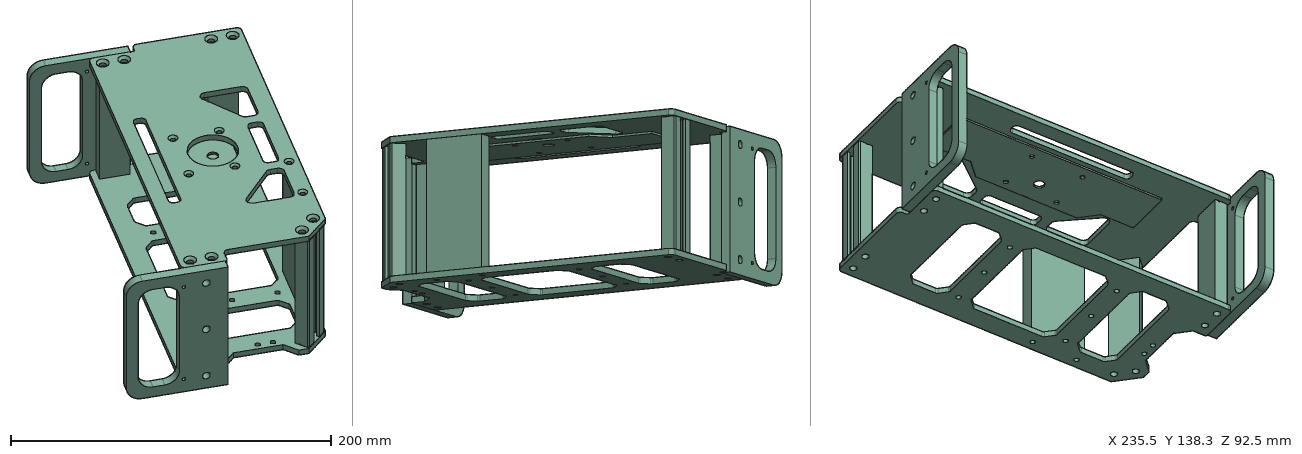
import cadquery as cq
import math

frame_height = 92.5
plate_thickness = 4.0
half_height = frame_height / 2
gap_half = half_height - plate_thickness

rear_y = 69.0
front_y = -31.0
left_x = -117.8
right_x = 100.4
handle_seat_x = 111.2
ledge_y = -1.2
rear_bevel = 14.5
plate_corner_radius = 3.0
ledge_tip_radius = 1.2

screw_hole_diameter = 4.5
screw_head_diameter = 8.0
small_hole_diameter = 3.3
small_head_diameter = 6.1
head_angle = 90

bar_length = 19.8
bar_depth = 10.0
bar_bevel = 1.0
bar_screw_spacing = 14.0
bar_screw_depth = 6.5
bar_tap_diameter = 3.3
slot_mouth_half = 3.3
slot_lip = 2.0
slot_cavity_half = 6.0
slot_straight_depth = 4.2
slot_depth = slot_straight_depth + slot_cavity_half - slot_mouth_half

end_bar_y = -16.7
diagonal_screws_mid = (88.0, 56.8)
diagonal_offset = bar_screw_depth * math.sqrt(0.5)
bar_places = [
    (-117.3, 55.1, 180),
    (-handle_seat_x, end_bar_y, 180),
    (handle_seat_x, end_bar_y, 0),
    (diagonal_screws_mid[0] + diagonal_offset, diagonal_screws_mid[1] + diagonal_offset, 45),
]

rear_bar_left = 20.0
rear_bar_right = 59.5
rear_bar_depth = 10.0
rear_bar_screws = [(23.0, 62.5), (55.8, 62.5)]
rear_bar_tap_diameter = 2.5

motor_y = 19.3
motor_bore_diameter = 32.0
motor_screws = [(x, y) for x in (-18.8, 18.8) for y in (28.5, -1.5)]
window_rear_y = 57.0
window_inner_x = 28.0
window_outer_x = 58.7
window_inner_front_y = 47.1
window_outer_front_y = 22.0
window_radius = 3.8
rear_slot_length = 42.0
rear_slot_width = 10.1
front_slot_length = 89.0
front_slot_width = 8.0
front_slot_x = 0.7
front_slot_y = -17.0
slot_corner_radius = 3.0

opening_rear_y = 54.7
opening_front_y = -17.0
opening_bevel = 6.0
opening_corner_radius = 2.0
centre_opening_half = 31.8
side_opening_inner = 47.5
side_opening_outer = 77.0
rib_hole_x = 39.8
rib_hole_ys = (50.5, 21.0, -8.5)
side_holes = [(88.0, 34.5), (88.0, 24.5)]
bottom_hole_diameter = 3.3
edge_notch_depth = 8.0
edge_notch_rear_y = 39.8
edge_notch_front_y = 7.8

sheet_thickness = 1.5
sheet_left = -77.0
sheet_right = 72.8
sheet_rear_y = 34.5
sheet_shoulder_y = 23.5
sheet_front_y = -9.5
sheet_tab_half = 37.7
sheet_bore_diameter = 7.0

handle_corner_radius = 10.4
grip_rear_y = -34.9
grip_front_y = -61.5
grip_height = 76.8
grip_radius = 9.5
handle_screw_diameter = 5.0
handle_screw_spacing = 36.5
handle_pin_diameter = 2.1
handle_pin_y = -32.0
handle_pin_spacing = 72.5
left_handle_thickness = 6.1
right_handle_thickness = 6.5
left_handle_rear_y = -4.0
right_handle_rear_y = -2.5
handle_front_y = -69.3
right_handle_shift = 0.7


def box_between(x0, x1, y0, y1, z0, z1):
    return cq.Workplane("XY").box(x1 - x0, y1 - y0, z1 - z0, centered=False).translate((x0, y0, z0))


def drills(points, diameter):
    """Vertical cylinders through the whole frame."""
    drill = cq.Workplane("XY").workplane(offset=-half_height)
    return drill.pushPoints(points).circle(diameter / 2).extrude(frame_height)


def bar_screw_points():
    points = []
    for x, y, angle in bar_places:
        out_x = math.cos(math.radians(angle))
        out_y = math.sin(math.radians(angle))
        for along in (-bar_screw_spacing / 2, bar_screw_spacing / 2):
            points.append((
                x - out_x * bar_screw_depth - out_y * along,
                y - out_y * bar_screw_depth + out_x * along,
            ))
    return points


def plate_blank(bottom_z):
    outline = [
        (left_x, rear_y),
        (right_x - rear_bevel, rear_y),
        (right_x, rear_y - rear_bevel),
        (right_x, ledge_y),
        (handle_seat_x, ledge_y),
        (handle_seat_x, front_y),
        (-handle_seat_x, front_y),
        (-handle_seat_x, ledge_y),
        (left_x, ledge_y),
    ]
    blank = cq.Workplane("XY").workplane(offset=bottom_z).polyline(outline).close().extrude(plate_thickness)
    rounded_corners = [outline[i] for i in (0, 3, 5, 6, 8)]
    small_corners = [outline[i] for i in (4, 7)]
    for corners, radius in ((rounded_corners, plate_corner_radius), (small_corners, ledge_tip_radius)):
        for x, y in corners:
            edge = cq.selectors.NearestToPointSelector((x, y, bottom_z + plate_thickness / 2))
            blank = blank.edges("|Z").edges(edge).fillet(radius)
    return blank


def window(side):
    """Four-sided opening beside the motor; side is -1 for left and 1 for right."""
    outline = [
        (side * window_outer_x, window_rear_y),
        (side * window_inner_x, window_rear_y),
        (side * window_inner_x, window_inner_front_y),
        (side * window_outer_x, window_outer_front_y),
    ]
    cutter = cq.Workplane("XY").workplane(offset=gap_half).polyline(outline).close().extrude(plate_thickness)
    return cutter.edges("|Z").fillet(window_radius)


def plate_slot(x, y, length, width):
    x0 = x - length / 2
    y0 = y - width / 2
    cutter = box_between(x0, x0 + length, y0, y0 + width, gap_half, half_height)
    return cutter.edges("|Z").fillet(slot_corner_radius)


def make_top_plate():
    plate = plate_blank(gap_half)
    for side in (-1, 1):
        plate = plate.cut(window(side))
    plate = plate.cut(plate_slot(0, window_rear_y - rear_slot_width / 2, rear_slot_length, rear_slot_width))
    plate = plate.cut(plate_slot(front_slot_x, front_slot_y, front_slot_length, front_slot_width))
    plate = plate.cut(drills([(0, motor_y)], motor_bore_diameter))
    for points, hole, head in (
        (bar_screw_points(), screw_hole_diameter, screw_head_diameter),
        (rear_bar_screws + motor_screws, small_hole_diameter, small_head_diameter),
    ):
        cone_depth = (head - hole) / 2 / math.tan(math.radians(head_angle / 2))
        for x, y in points:
            cone_base = cq.Vector(x, y, half_height - cone_depth)
            cone = cq.Solid.makeCone(hole / 2, head / 2, cone_depth, pnt=cone_base)
            plate = plate.cut(cq.Workplane(cone))
        plate = plate.cut(drills(points, hole))
    return plate


def bottom_opening(x0, x1):
    cutter = box_between(x0, x1, opening_front_y, opening_rear_y, -half_height, -gap_half)
    return cutter.edges("|Z").chamfer(opening_bevel).edges("|Z").fillet(opening_corner_radius)


def edge_notch():
    """Cutter whose front flank runs out at the ledge and clears the rounded corner there."""
    floor_x = right_x - edge_notch_depth
    clear_x = right_x + plate_corner_radius
    outline = [
        (right_x, edge_notch_rear_y + edge_notch_depth),
        (floor_x, edge_notch_rear_y),
        (floor_x, edge_notch_front_y),
        (floor_x + edge_notch_front_y - ledge_y, ledge_y),
        (clear_x, ledge_y),
        (clear_x, edge_notch_rear_y + edge_notch_depth),
    ]
    floor_plane = cq.Workplane("XY").workplane(offset=-half_height)
    return floor_plane.polyline(outline).close().extrude(plate_thickness)


def make_bottom_plate():
    plate = plate_blank(-half_height).cut(edge_notch())
    plate = plate.cut(bottom_opening(-centre_opening_half, centre_opening_half))
    plate = plate.cut(bottom_opening(side_opening_inner, side_opening_outer))
    plate = plate.cut(bottom_opening(-side_opening_outer, -side_opening_inner))
    rib_holes = [(x, y) for x in (-rib_hole_x, rib_hole_x) for y in rib_hole_ys]
    plate = plate.cut(drills(rib_holes + side_holes, bottom_hole_diameter))
    plate = plate.cut(drills(bar_screw_points(), screw_hole_diameter))
    return plate.cut(drills(rear_bar_screws, small_hole_diameter))


def make_motor_sheet():
    shoulder_run = sheet_rear_y - sheet_shoulder_y
    outline = [
        (sheet_left, sheet_front_y),
        (sheet_right, sheet_front_y),
        (sheet_right, sheet_shoulder_y),
        (sheet_tab_half + shoulder_run, sheet_shoulder_y),
        (sheet_tab_half, sheet_rear_y),
        (-sheet_tab_half, sheet_rear_y),
        (-sheet_tab_half - shoulder_run, sheet_shoulder_y),
        (sheet_left, sheet_shoulder_y),
    ]
    under_plate = cq.Workplane("XY").workplane(offset=gap_half - sheet_thickness)
    sheet = under_plate.polyline(outline).close().extrude(sheet_thickness)
    sheet = sheet.cut(drills([(0, motor_y)], sheet_bore_diameter))
    return sheet.cut(drills(motor_screws, small_hole_diameter))


def make_side_bar(x, y, angle):
    """Upright bar; its slotted outer face looks along +X before it is turned and placed."""
    bar = box_between(-bar_depth, 0, -bar_length / 2, bar_length / 2, -gap_half, gap_half)
    bar = bar.edges("|Z and >X").chamfer(bar_bevel)
    slot_outline = [
        (0, slot_mouth_half),
        (-slot_lip, slot_mouth_half),
        (-slot_lip, slot_cavity_half),
        (-slot_straight_depth, slot_cavity_half),
        (-slot_depth, slot_mouth_half),
    ]
    slot_outline += [(depth, -half) for depth, half in reversed(slot_outline)]
    slot = cq.Workplane("XY").workplane(offset=-gap_half).polyline(slot_outline).close().extrude(2 * gap_half)
    screws = [(-bar_screw_depth, side * bar_screw_spacing / 2) for side in (-1, 1)]
    bar = bar.cut(slot).cut(drills(screws, bar_tap_diameter))
    return bar.rotate((0, 0, 0), (0, 0, 1), angle).translate((x, y, 0))


def make_rear_bar():
    front = rear_y - rear_bar_depth
    bar = box_between(rear_bar_left, rear_bar_right, front, rear_y, -gap_half, gap_half)
    return bar.cut(drills(rear_bar_screws, rear_bar_tap_diameter))


def make_handle(inner_x, outer_x, plate_end_y, shift):
    """Flat end plate with a long grip opening in its front part, moved back by shift."""
    x0 = min(inner_x, outer_x)
    x1 = max(inner_x, outer_x)
    handle = box_between(x0, x1, handle_front_y + shift, plate_end_y, -half_height, half_height)
    handle = handle.edges("|X and <Y").fillet(handle_corner_radius)
    grip = box_between(x0, x1, grip_front_y + shift, grip_rear_y + shift, -grip_height / 2, grip_height / 2)
    handle = handle.cut(grip.edges("|X").fillet(grip_radius))
    side = cq.Workplane("YZ").workplane(offset=x0)
    screws = [(end_bar_y, row * handle_screw_spacing) for row in (-1, 0, 1)]
    pins = [(handle_pin_y + shift, row * handle_pin_spacing / 2) for row in (-1, 1)]
    handle = handle.cut(side.pushPoints(screws).circle(handle_screw_diameter / 2).extrude(x1 - x0))
    return handle.cut(side.pushPoints(pins).circle(handle_pin_diameter / 2).extrude(x1 - x0))


top_plate = make_top_plate()
bottom_plate = make_bottom_plate()
motor_sheet = make_motor_sheet()
side_bars = [make_side_bar(x, y, angle) for x, y, angle in bar_places]
rear_bar = make_rear_bar()
left_handle = make_handle(-handle_seat_x, -handle_seat_x - left_handle_thickness, left_handle_rear_y, 0)
right_handle = make_handle(
    handle_seat_x, handle_seat_x + right_handle_thickness, right_handle_rear_y, right_handle_shift
)

result = cq.Compound.makeCompound([
    top_plate.val(),
    bottom_plate.val(),
    motor_sheet.val(),
    *[bar.val() for bar in side_bars],
    rear_bar.val(),
    left_handle.val(),
    right_handle.val(),
])